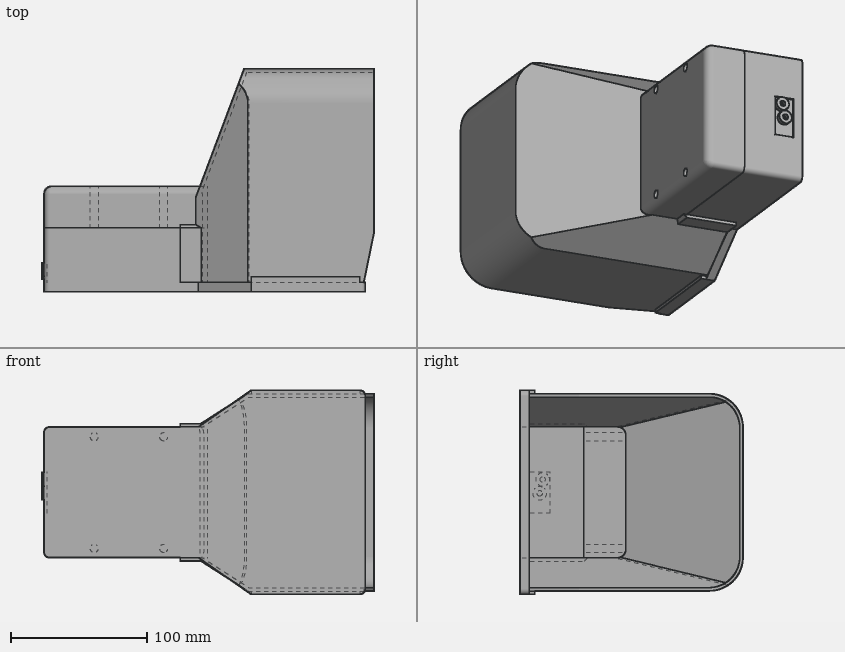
import cadquery as cq

BASE_LENGTH = 236.0
BASE_WIDTH = 150.0
PLATE_THICKNESS = 7.0
CORNER_RADIUS = 4.0

NECK_WIDTH = 96.0
NECK_LENGTH = 120.0
BASE_NECK_HEIGHT = 47.0
NECK_HEIGHT = 77.8
COVER_EDGE_RADIUS = 6.0
PLATE_FLARE_START = 113.5
PLATE_FLARE_END = 152.25

HEAD_WIDTH = 145.0
HEAD_HEIGHT = 164.0
HEAD_END = 242.5
HEAD_WALL = 2.5
HEAD_EDGE_RADIUS = 25.0
HEAD_FLARE_START = 111.5
HEAD_FLARE_END = 149.75
HEAD_ROOF_START = 147.0
HEAD_SLOPE_FOOT = 69.5
OPENING_BEND_HEIGHT = 43.5
OPENING_FOOT = 235.0

COLLAR_START = 100.0
LIP_HEIGHT = 11.0

COVER_HOLE_DIAMETER = 6.0
COVER_HOLE_POSITIONS = (36.75, 87.75)
COVER_HOLE_OFFSET = 41.0

RECESS_HEIGHT = 30.0
RECESS_WIDTH = 15.0
RECESS_BOTTOM = 7.0
RECESS_DEPTH = 2.0
JACK_DIAMETER = 10.0
JACK_BORE_DIAMETER = 4.0
JACK_PROTRUSION = 1.5
JACK_CENTRES = ((16.6, 9.6), (14.4, -0.55))

BASE_HALF = BASE_WIDTH / 2
NECK_HALF = NECK_WIDTH / 2
HEAD_HALF = HEAD_WIDTH / 2
JACK_LENGTH = RECESS_DEPTH + JACK_PROTRUSION


def extrude_along_y(points, start, end):
    """Extrude an outline given as (x, z) points from Y = start to Y = end."""
    return cq.Workplane("XZ", origin=(0, start, 0)).polyline(points).close().extrude(start - end)


def box_between(x_range, y_range, z_range):
    """Box spanning the given (low, high) ranges."""
    sizes = [high - low for low, high in (x_range, y_range, z_range)]
    corner = (x_range[0], y_range[0], z_range[0])
    return cq.Workplane("XY").box(*sizes, centered=False).translate(corner)


def neck_block(bottom, top):
    """Straight neck between two heights, with sharp edges."""
    return box_between((0, NECK_LENGTH), (bottom, top), (-NECK_HALF, NECK_HALF))


def round_neck_corners(neck):
    """Round the two upright corners at the cable end."""
    return neck.edges("|Y and <X").fillet(CORNER_RADIUS)


def base_plate():
    outline = [
        (0, NECK_HALF),
        (PLATE_FLARE_START, NECK_HALF),
        (PLATE_FLARE_END, BASE_HALF),
        (BASE_LENGTH, BASE_HALF),
        (BASE_LENGTH, -BASE_HALF),
        (PLATE_FLARE_END, -BASE_HALF),
        (PLATE_FLARE_START, -NECK_HALF),
        (0, -NECK_HALF),
    ]
    plate = extrude_along_y(outline, 0, PLATE_THICKNESS)
    return plate.edges("|Y and (<X or >X)").fillet(CORNER_RADIUS)


def side_lips():
    lip_range = (PLATE_FLARE_END, BASE_LENGTH - CORNER_RADIUS)
    lip = box_between(lip_range, (0, LIP_HEIGHT), (HEAD_HALF, BASE_HALF))
    return lip.union(lip.mirror("XY"))


def jack_recess():
    return box_between(
        (0, RECESS_DEPTH),
        (RECESS_BOTTOM, RECESS_BOTTOM + RECESS_WIDTH),
        (-RECESS_HEIGHT / 2, RECESS_HEIGHT / 2),
    )


def make_base():
    neck = round_neck_corners(neck_block(0, BASE_NECK_HEIGHT))
    body = base_plate().union(neck).union(side_lips())
    return body.cut(jack_recess())


def make_cover():
    block = neck_block(BASE_NECK_HEIGHT, NECK_HEIGHT)
    cover = round_neck_corners(block.faces(">Y").edges("not >X").fillet(COVER_EDGE_RADIUS))
    depth = NECK_HEIGHT - BASE_NECK_HEIGHT
    centres = [(x, z) for x in COVER_HOLE_POSITIONS for z in (-COVER_HOLE_OFFSET, COVER_HOLE_OFFSET)]
    holes = (
        cq.Workplane("XZ", origin=(0, NECK_HEIGHT, 0))
        .pushPoints(centres)
        .circle(COVER_HOLE_DIAMETER / 2)
        .extrude(depth)
    )
    return cover.cut(holes)


def head_form(inset):
    """Solid form of the hood, its walls moved inwards by inset; its open sides stay in place."""
    plan = cq.Workplane("XZ").polyline([
        (HEAD_FLARE_START, NECK_HALF),
        (HEAD_FLARE_END, HEAD_HALF),
        (HEAD_END + inset, HEAD_HALF),
        (HEAD_END + inset, -HEAD_HALF),
        (HEAD_FLARE_END, -HEAD_HALF),
        (HEAD_FLARE_START, -NECK_HALF),
    ]).close()
    side = cq.Workplane("XY").polyline([
        (HEAD_FLARE_START, PLATE_THICKNESS - inset),
        (HEAD_FLARE_START, HEAD_SLOPE_FOOT),
        (HEAD_ROOF_START, HEAD_HEIGHT),
        (HEAD_END + inset, HEAD_HEIGHT),
        (HEAD_END + inset, PLATE_THICKNESS - inset),
    ]).close()
    if inset:
        plan = plan.offset2D(-inset)
        side = side.offset2D(-inset)
    plan_form = plan.extrude(-HEAD_HEIGHT)
    side_form = side.extrude(HEAD_HALF, both=True)
    section_form = box_between(
        (0, HEAD_END), (0, HEAD_HEIGHT - inset), (inset - HEAD_HALF, HEAD_HALF - inset)
    ).edges("|X and >Y").fillet(HEAD_EDGE_RADIUS - inset)
    return plan_form.intersect(side_form).intersect(section_form)


def opening_bevel():
    """Wedge that slants the lower part of the foot opening."""
    wedge = cq.Workplane("XY").polyline([
        (OPENING_FOOT, PLATE_THICKNESS),
        (HEAD_END, OPENING_BEND_HEIGHT),
        (HEAD_END, PLATE_THICKNESS),
    ]).close()
    return wedge.extrude(HEAD_HALF, both=True)


def head_collar():
    """Ears that clasp the base neck, bevelled along their upper edge."""
    half = NECK_HALF + HEAD_WALL
    flare_slope = (HEAD_FLARE_END - HEAD_FLARE_START) / (HEAD_HALF - NECK_HALF)
    collar_end = HEAD_FLARE_START + HEAD_WALL * flare_slope
    ear = (
        cq.Workplane("YZ", origin=(COLLAR_START, 0, 0))
        .polyline([
            (PLATE_THICKNESS, NECK_HALF),
            (PLATE_THICKNESS, half),
            (BASE_NECK_HEIGHT, half),
            (BASE_NECK_HEIGHT + HEAD_WALL, NECK_HALF),
        ]).close()
        .extrude(collar_end - COLLAR_START)
    )
    return ear.union(ear.mirror("XY"))


def make_head(neck_parts):
    """Hood with its collar, fitted around the given neck bodies."""
    shell = head_form(0).cut(head_form(HEAD_WALL)).cut(opening_bevel())
    head = shell.union(head_collar())
    for neck_part in neck_parts:
        head = head.cut(neck_part)
    return head


def make_jack(centre):
    y, z = centre
    return (
        cq.Workplane("YZ", origin=(-JACK_PROTRUSION, y, z))
        .circle(JACK_DIAMETER / 2)
        .circle(JACK_BORE_DIAMETER / 2)
        .extrude(JACK_LENGTH)
    )


base = make_base()
cover = make_cover()
head = make_head([base, cover])
jacks = [make_jack(centre) for centre in JACK_CENTRES]

result = cq.Compound.makeCompound([
    base.solids().val(),
    cover.solids().val(),
    head.solids().val(),
    *[jack.val() for jack in jacks],
])